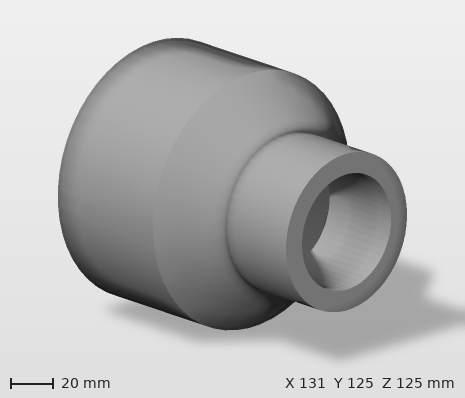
import cadquery as cq

total_length = 131.0
wide_outer_radius = 125.0 / 2
wide_bore_radius = 110.0 / 2
narrow_outer_radius = 77.0 / 2
narrow_bore_radius = 56.7 / 2
wide_outer_length = 65.6
wide_bore_length = 62.0


def turned_body(wide_length, wide_radius, narrow_radius):
    """Solid of revolution about X: wide cylinder, 45 degree cone, narrow cylinder."""
    taper_end = wide_length + wide_radius - narrow_radius
    profile = (
        cq.Workplane("XY")
        .moveTo(0, 0)
        .lineTo(0, wide_radius)
        .lineTo(wide_length, wide_radius)
        .lineTo(taper_end, narrow_radius)
        .lineTo(total_length, narrow_radius)
        .lineTo(total_length, 0)
        .close()
    )
    return profile.revolve(360, (0, 0, 0), (1, 0, 0))


outer_body = turned_body(wide_outer_length, wide_outer_radius, narrow_outer_radius)
bore = turned_body(wide_bore_length, wide_bore_radius, narrow_bore_radius)

result = outer_body.cut(bore)